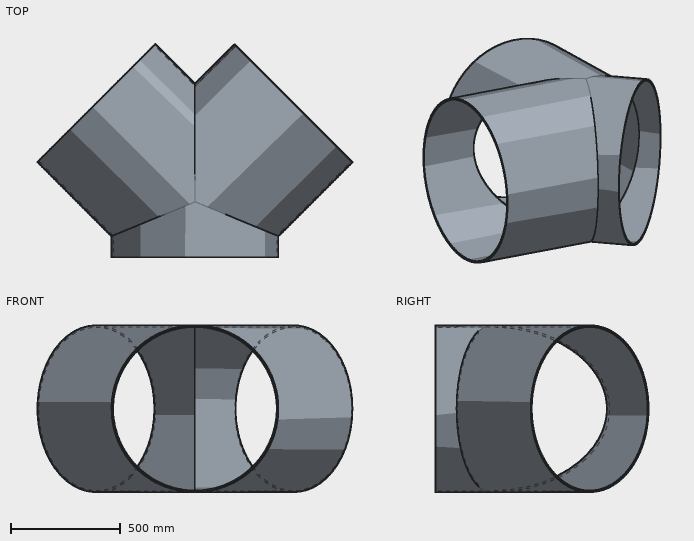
import cadquery as cq
import math

overall_width = 1437.0
overall_depth = 973.0
outer_diameter = 762.0
inner_diameter = 746.0
branch_angle = 45.0

outer_radius = outer_diameter / 2
tilt = math.radians(branch_angle)
sin_tilt = math.sin(tilt)
cos_tilt = math.cos(tilt)
branch_length = (overall_width / 2 - outer_radius * cos_tilt) / sin_tilt
branch_reach_y = branch_length * cos_tilt + outer_radius * sin_tilt
trunk_length = overall_depth - branch_reach_y
miter_slope = math.tan(tilt / 2)
sector_size = overall_width


def pipe_rod(diameter, direction, length):
    """Solid rod ending at length along direction, started behind the origin to allow for the miter."""
    start = cq.Vector(*direction) * -outer_radius
    return cq.Workplane(
        cq.Solid.makeCylinder(diameter / 2, length + outer_radius, start, cq.Vector(*direction))
    )


def sector(points):
    """Prism over an XY outline, tall enough to span the pipes."""
    return cq.Workplane("XY").polyline(points).close().extrude(outer_diameter, both=True)


def y_body(diameter):
    """Three mitred rods of one diameter, joined on their miter planes."""
    miter_drop = sector_size * miter_slope
    trunk_sector = sector([
        (0, 0),
        (sector_size, -miter_drop),
        (sector_size, -sector_size),
        (-sector_size, -sector_size),
        (-sector_size, -miter_drop),
    ])
    body = pipe_rod(diameter, (0, -1, 0), trunk_length).intersect(trunk_sector)
    for side in (-1, 1):
        branch_sector = sector([
            (0, 0),
            (side * sector_size, -miter_drop),
            (side * sector_size, sector_size),
            (0, sector_size),
        ])
        rod = pipe_rod(diameter, (side * sin_tilt, cos_tilt, 0), branch_length)
        body = body.union(rod.intersect(branch_sector))
    return body


result = y_body(outer_diameter).cut(y_body(inner_diameter))